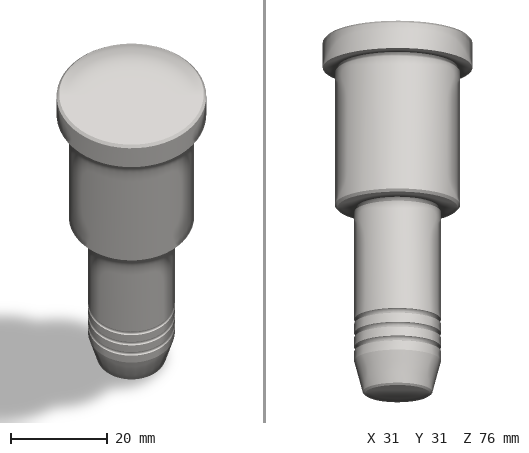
import cadquery as cq
import math

overall_length = 76.0
head_radius = 31.0 / 2
body_radius = 26.0 / 2
shaft_radius = 18.0 / 2
relief_depth = 0.5

head_bottom = 70.0
body_bottom = 40.0
taper_top = 7.0

edge_chamfer = 0.5
head_neck_length = 0.45
shaft_neck_length = 1.0
tip_chamfer = 0.4
taper_angle = 15.0

groove_count = 3
groove_radius = 0.495
groove_pitch = 3.0
lowest_groove_height = 9.5


def cylinder(radius, bottom, top):
    """Solid round bar on the Z axis between two heights."""
    return cq.Workplane("XY").workplane(offset=bottom).circle(radius).extrude(top - bottom)


head = cylinder(head_radius, head_bottom, overall_length).faces(">Z").chamfer(edge_chamfer)

body_top = head_bottom - head_neck_length
body = cylinder(body_radius, body_bottom, body_top).faces("<Z or >Z").chamfer(edge_chamfer)
head_neck = cylinder(body_radius - relief_depth, body_top, head_bottom)

shaft_top = body_bottom - shaft_neck_length
tip_radius = shaft_radius - taper_top * math.tan(math.radians(taper_angle))
shaft = (
    cq.Workplane("XZ")
    .polyline([(0, 0), (tip_radius, 0), (shaft_radius, taper_top), (shaft_radius, shaft_top), (0, shaft_top)])
    .close()
    .revolve(360, (0, 0, 0), (0, 1, 0))
    .faces("<Z")
    .chamfer(tip_chamfer)
)
shaft_neck = cylinder(shaft_radius - relief_depth, shaft_top, body_bottom)

for index in range(groove_count):
    groove_height = lowest_groove_height + index * groove_pitch
    ring = cq.Workplane(cq.Solid.makeTorus(shaft_radius, groove_radius, cq.Vector(0, 0, groove_height)))
    shaft = shaft.cut(ring)

result = head.union(head_neck).union(body).union(shaft_neck).union(shaft)